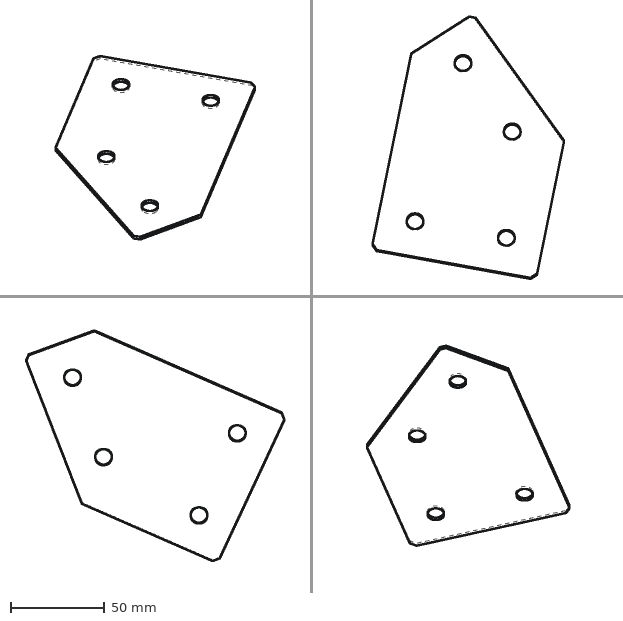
import cadquery as cq

width = 90.0
length = 140.0
thickness = 2.0

corner_clip = 3.0
left_side_drop = 80.0
right_side_drop = 113.4

hole_diameter = 9.0
edge_distance = 20.0
hole_spacing = 50.0
angled_spacing = 33.3

left_corner_y = length - left_side_drop
right_corner_y = length - right_side_drop
tip_left_x = left_corner_y
tip_right_x = width - right_corner_y
tip_center_x = (tip_left_x + tip_right_x) / 2

outline = [
    (tip_left_x, 0),
    (tip_right_x, 0),
    (width, right_corner_y),
    (width, length - corner_clip),
    (width - corner_clip, length),
    (corner_clip, length),
    (0, length - corner_clip),
    (0, left_corner_y),
]

upper_hole_y = length - edge_distance
hole_centers = [
    (edge_distance, upper_hole_y),
    (edge_distance + hole_spacing, upper_hole_y),
    (tip_center_x, right_corner_y),
    (tip_center_x - angled_spacing, right_corner_y + angled_spacing),
]

plate = cq.Workplane("XY").polyline(outline).close().extrude(thickness)
holes = cq.Workplane("XY").pushPoints(hole_centers).circle(hole_diameter / 2).extrude(thickness)

result = plate.cut(holes)